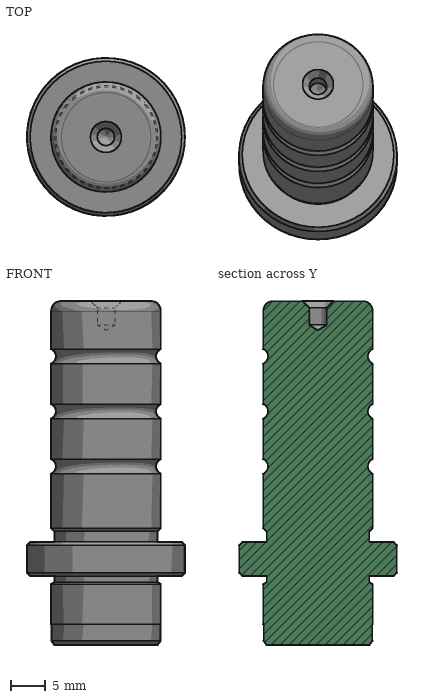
import cadquery as cq
import math

pin_height = 50.0
pin_radius = 8.0
top_round = 1.5

flange_radius = 11.5
flange_bottom = 10.0
flange_top = 15.0
flange_chamfer = 0.5
neck_radius = 7.5
upper_neck_top = 16.5
upper_shoulder = 17.0
lower_shoulder = 8.85
lower_neck_bottom = 9.15

lead_radius = 7.95
lead_height = 3.0
foot_radius = 7.5
foot_chamfer_height = 0.6

groove_count = 3
first_groove_drop = 8.05
groove_pitch = 8.0
groove_width = 2.1
groove_depth = 0.7

countersink_radius = 2.25
countersink_angle = 90.0
drill_radius = 1.25
drill_length = 2.5
drill_tip_angle = 120.0


def make_body():
    """Revolve the outer outline, foot to top, around the Z axis."""
    round_middle = top_round * math.sqrt(0.5)
    return (
        cq.Workplane("XZ")
        .lineTo(foot_radius, 0)
        .lineTo(lead_radius, foot_chamfer_height)
        .lineTo(lead_radius, lead_height)
        .lineTo(pin_radius, lead_height)
        .lineTo(pin_radius, lower_shoulder)
        .lineTo(neck_radius, lower_neck_bottom)
        .lineTo(neck_radius, flange_bottom)
        .lineTo(flange_radius - flange_chamfer, flange_bottom)
        .lineTo(flange_radius, flange_bottom + flange_chamfer)
        .lineTo(flange_radius, flange_top - flange_chamfer)
        .lineTo(flange_radius - flange_chamfer, flange_top)
        .lineTo(neck_radius, flange_top)
        .lineTo(neck_radius, upper_neck_top)
        .lineTo(pin_radius, upper_shoulder)
        .lineTo(pin_radius, pin_height - top_round)
        .threePointArc(
            (pin_radius - top_round + round_middle, pin_height - top_round + round_middle),
            (pin_radius - top_round, pin_height),
        )
        .lineTo(0, pin_height)
        .close()
        .revolve(360, (0, 0), (0, 1))
    )


def make_groove(middle_z):
    """Ring with a circular section that cuts to the groove width and depth."""
    half_width = groove_width / 2
    section_radius = (half_width**2 + groove_depth**2) / (2 * groove_depth)
    section_centre = pin_radius - groove_depth + section_radius
    return cq.Workplane("XY").add(
        cq.Solid.makeTorus(section_centre, section_radius, cq.Vector(0, 0, middle_z))
    )


def make_centre_hole():
    """Countersink, straight drilling and conical drill tip below the top face."""
    countersink_depth = (countersink_radius - drill_radius) / math.tan(math.radians(countersink_angle / 2))
    tip_length = drill_radius / math.tan(math.radians(drill_tip_angle / 2))
    drill_top = pin_height - countersink_depth
    drill_bottom = drill_top - drill_length
    return (
        cq.Workplane("XZ")
        .moveTo(0, pin_height)
        .lineTo(countersink_radius, pin_height)
        .lineTo(drill_radius, drill_top)
        .lineTo(drill_radius, drill_bottom)
        .lineTo(0, drill_bottom - tip_length)
        .close()
        .revolve(360, (0, 0), (0, 1))
    )


result = make_body()
for groove_number in range(groove_count):
    result = result.cut(make_groove(pin_height - first_groove_drop - groove_number * groove_pitch))
result = result.cut(make_centre_hole())